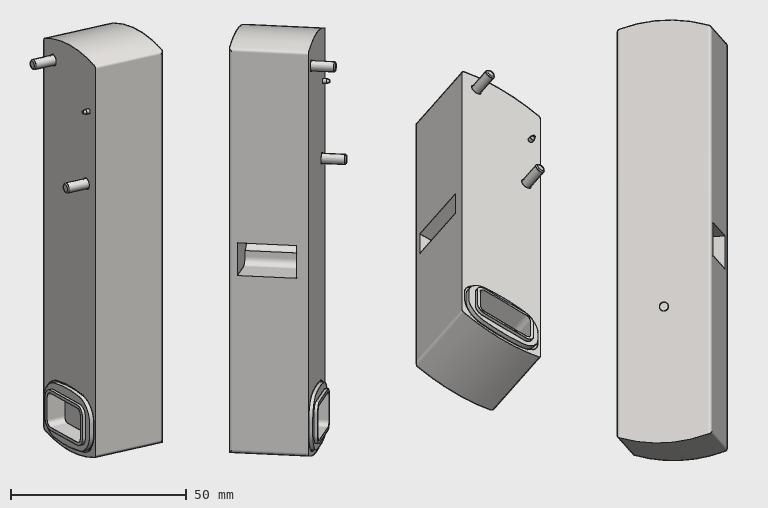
import cadquery as cq
import math

width = 27.5
height = 123.4
depth = 23.0
end_rise = 2.3
side_fillet = 1.0

pin_diameter = 3.0
pin_chamfer = 0.4
pin_hole_diameter = 3.3
pin_projection = 7.0
pin_hole_depth = 4.9
pin_offset_x = 8.8
upper_pin_z = 116.0
lower_pin_z = 84.0
pin_positions = [(-pin_offset_x, upper_pin_z), (pin_offset_x, lower_pin_z)]

peg_x = 10.1
peg_z = 106.5
peg_diameter = 1.5
peg_tip_diameter = 0.7
peg_length = 2.0
peg_cone_length = 0.9
peg_root = 1.2

pad_z = 10.5
pad_width = 24.3
pad_height = 17.5
pad_end_rise = 1.7
pad_corner_radius = 6.7
pad_projection = 1.0
moat_side_gap = 0.7
moat_end_gap = 0.4
moat_depth = 0.4

socket_width = 17.5
socket_height = 10.4
socket_corner_radius = 1.67
socket_depth = 4.0
rim_side_wall = 1.1
rim_end_wall = 0.93
rim_projection = 2.0

slot_front_y = 3.3
slot_length = 17.2
slot_bottom_z = 54.5
slot_floor_radius = 2.2
slot_step_height = 1.9
slot_channel_diameter = 5.5
slot_depth = 12.3

stud_diameter = 2.6
stud_projection = 0.4
stud_z = 39.7


def bowed_outline(plane_y, outline_width, outline_height, rise, center_z):
    """Rectangle on the XZ plane whose top and bottom edges bow outwards."""
    half_width = outline_width / 2
    half_height = outline_height / 2
    corner_height = half_height - rise
    return (
        cq.Workplane("XZ", origin=(0, plane_y, center_z))
        .moveTo(-half_width, -corner_height)
        .threePointArc((0, -half_height), (half_width, -corner_height))
        .lineTo(half_width, corner_height)
        .threePointArc((0, half_height), (-half_width, corner_height))
        .close()
    )


def front_cylinder(x, z, start_y, diameter, length):
    """Cylinder that runs towards -Y from start_y."""
    return (
        cq.Workplane("XZ", origin=(x, start_y, z))
        .circle(diameter / 2)
        .extrude(length)
    )


def make_block():
    """Bowed block with rounded corners, trimmed to round the upright edges of its back."""
    block = bowed_outline(depth, width, height, end_rise, height / 2).extrude(depth)
    block = block.edges("|Y").fillet(side_fillet)
    envelope = cq.Workplane("XY").box(width, depth, height, centered=(True, False, False))
    envelope = envelope.edges("|Z and >Y").fillet(side_fillet)
    return block.intersect(envelope)


def make_slot():
    """Side slot: a floor with a rounded root, an upright step and a round channel above."""
    mouth_x = -width / 2
    back_x = mouth_x + slot_depth
    step_bottom_z = slot_bottom_z + slot_floor_radius
    channel_bottom_z = step_bottom_z + slot_step_height
    channel_radius = slot_channel_diameter / 2
    channel_top_z = channel_bottom_z + slot_channel_diameter
    root_shift = slot_floor_radius * math.sin(math.radians(45))
    root_center_x = back_x - slot_floor_radius
    return (
        cq.Workplane("XZ", origin=(0, slot_front_y + slot_length, 0))
        .moveTo(mouth_x, slot_bottom_z)
        .lineTo(root_center_x, slot_bottom_z)
        .threePointArc(
            (root_center_x + root_shift, step_bottom_z - root_shift),
            (back_x, step_bottom_z),
        )
        .lineTo(back_x, channel_bottom_z)
        .threePointArc(
            (back_x + channel_radius, channel_bottom_z + channel_radius),
            (back_x, channel_top_z),
        )
        .lineTo(mouth_x, channel_top_z)
        .close()
        .extrude(slot_length)
    )


def rounded_prism(start_y, prism_width, prism_height, radius, length):
    """Round-cornered block, centred on the pad, that runs towards -Y from start_y."""
    return (
        cq.Workplane("XZ", origin=(0, start_y, pad_z))
        .rect(prism_width, prism_height)
        .extrude(length)
        .edges("|Y")
        .fillet(radius)
    )


def add_connector(body):
    """Sink the moat into the body, then add the pad and its rim and hollow out the socket."""
    moat = bowed_outline(
        moat_depth,
        pad_width + 2 * moat_side_gap,
        pad_height + 2 * moat_end_gap,
        pad_end_rise,
        pad_z,
    ).extrude(moat_depth)
    moat = moat.edges("|Y").fillet(pad_corner_radius + moat_end_gap)
    pad = bowed_outline(moat_depth, pad_width, pad_height, pad_end_rise, pad_z)
    pad = pad.extrude(moat_depth + pad_projection).edges("|Y").fillet(pad_corner_radius)
    rim = rounded_prism(
        0,
        socket_width + 2 * rim_side_wall,
        socket_height + 2 * rim_end_wall,
        socket_corner_radius + rim_side_wall,
        rim_projection,
    )
    socket = rounded_prism(
        socket_depth,
        socket_width,
        socket_height,
        socket_corner_radius,
        socket_depth + rim_projection,
    )
    return body.cut(moat).union(pad).union(rim).cut(socket)


def make_peg():
    """Peg turned about an axis parallel to Y, with its root set into the block."""
    shoulder = peg_length - peg_cone_length
    return (
        cq.Workplane("XY", origin=(peg_x, 0, peg_z))
        .moveTo(0, peg_root)
        .lineTo(peg_diameter / 2, peg_root)
        .lineTo(peg_diameter / 2, -shoulder)
        .lineTo(peg_tip_diameter / 2, -peg_length)
        .lineTo(0, -peg_length)
        .close()
        .revolve(360, (0, 0, 0), (0, 1, 0))
    )


def make_stud():
    """Low round stud on the back face."""
    return front_cylinder(0, stud_z, depth + stud_projection, stud_diameter, stud_projection)


def make_housing():
    """Body with its slot, connector, peg, stud and pin holes."""
    housing = make_block().cut(make_slot())
    housing = add_connector(housing)
    housing = housing.union(make_peg()).union(make_stud())
    for x, z in pin_positions:
        pin_hole = front_cylinder(x, z, pin_hole_depth, pin_hole_diameter, pin_hole_depth)
        housing = housing.cut(pin_hole)
    return housing


def make_pin(x, z):
    """Round pin that bottoms in its hole and has a chamfered free end."""
    pin = front_cylinder(x, z, pin_hole_depth, pin_diameter, pin_hole_depth + pin_projection)
    return pin.faces("<Y").chamfer(pin_chamfer)


housing = make_housing()
pins = [make_pin(x, z) for x, z in pin_positions]

result = cq.Compound.makeCompound([housing.val(), *[pin.val() for pin in pins]])